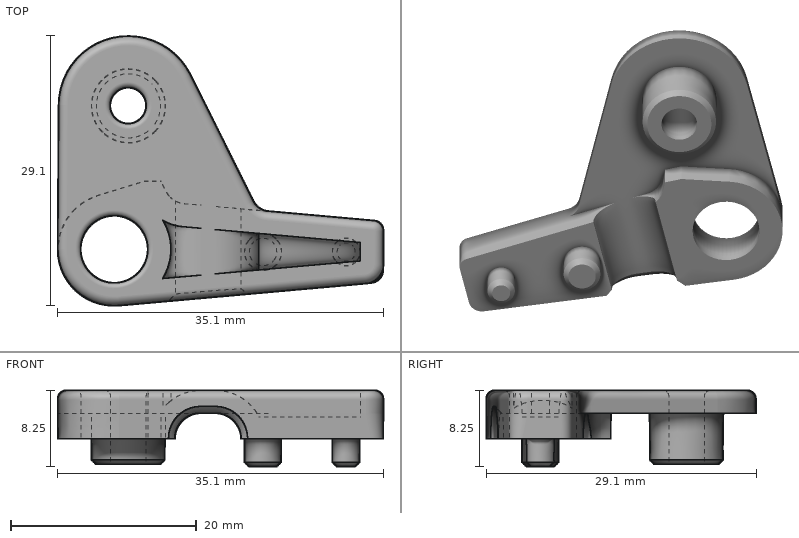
import cadquery as cq
import math


plate_thickness = 2.5
body_depth = 5.25
large_boss_depth = 8.0
total_depth = 8.25
edge_radius = 1.0

total_length = 35.1
total_width = 29.07
hub_radius = 6.1
lobe_radius = 7.5
lobe_x = 1.5
lobe_y = total_width - hub_radius - lobe_radius
arm_end_x = total_length - hub_radius
arm_axis_y = -0.26
arm_taper = 5.1
slant_angle = 26.5
crotch_radius = 1.9
front_corner_radius = 2.1
back_corner_radius = 1.1

body_draft = 0.5
body_front_corner_foot_radius = 1.45
ramp_angle = 107.0
shoulder_y = 7.36
shoulder_length = 1.8
shoulder_fillet = 2.5

large_hole_radius = 3.6
small_hole_radius = 1.92
hole_rim_radius = 0.6

arch_x = 10.1
arch_flat = 1.6
arch_radius = body_depth - plate_thickness
arch_chamfer = 0.75
wall = 2.5
pocket_depth = 2.87

boss_draft = 0.5
large_boss_radius = 4.0
near_pin_x = 16.0
near_pin_radius = 2.0
far_pin_x = 24.95
far_pin_radius = 1.5
boss_chamfer = 0.5


def unit(angle):
    """Unit vector at an angle in degrees."""
    return math.cos(math.radians(angle)), math.sin(math.radians(angle))


def on_circle(center, radius, angle):
    """Point of a circle at an angle in degrees."""
    ux, uy = unit(angle)
    return center[0] + radius * ux, center[1] + radius * uy


def crossing(line_a, line_b):
    """Crossing of two lines, each given as (normal angle, distance from the origin)."""
    ax, ay = unit(line_a[0])
    bx, by = unit(line_b[0])
    det = ax * by - ay * bx
    x = (line_a[1] * by - line_b[1] * ay) / det
    y = (ax * line_b[1] - bx * line_a[1]) / det
    return x, y


def rounding(line_a, line_b, radius, side):
    """Start, middle and end of the arc between two lines; side is 1 for convex, -1 for concave."""
    inner_a = (line_a[0], line_a[1] - side * radius)
    inner_b = (line_b[0], line_b[1] - side * radius)
    center = crossing(inner_a, inner_b)
    middle_angle = (line_a[0] + line_b[0]) / 2
    return [on_circle(center, side * radius, angle) for angle in (line_a[0], middle_angle, line_b[0])]


def add_rounding(path, arc):
    """Run a path straight to an arc and then along it."""
    return path.lineTo(*arc[0]).threePointArc(arc[1], arc[2])


hub = (0, 0)
lobe = (lobe_x, lobe_y)
front_angle = arm_taper - 90
back_angle = 90 - arm_taper
arm_back_distance = hub_radius + 2 * arm_axis_y * math.sin(math.radians(back_angle))

front_edge = (front_angle, hub_radius)
end_edge = (0, arm_end_x)
back_edge = (back_angle, arm_back_distance)
slant_normal = unit(slant_angle)
slant_edge = (slant_angle, lobe_x * slant_normal[0] + lobe_y * slant_normal[1] + lobe_radius)
ramp_edge = (ramp_angle, hub_radius)
shoulder_edge = (90, shoulder_y)
shoulder_start = crossing(ramp_edge, shoulder_edge)
flank_distance = (shoulder_start[0] + shoulder_length) * slant_normal[0] + shoulder_y * slant_normal[1]
flank_edge = (slant_angle, flank_distance)


def inset(edge, distance):
    """Edge moved inward."""
    return edge[0], edge[1] - distance


def make_plate():
    """Plate with a rounded top edge."""
    center_distance = math.hypot(lobe_x, lobe_y)
    lobe_direction = math.degrees(math.atan2(lobe_y, lobe_x))
    radius_change = (hub_radius - lobe_radius) / center_distance
    left_angle = lobe_direction + math.degrees(math.acos(radius_change))
    hub_middle = (left_angle + front_angle + 360) / 2
    lobe_middle = (left_angle + slant_angle) / 2

    path = cq.Workplane("XY").workplane(offset=-plate_thickness)
    path = path.moveTo(*on_circle(hub, hub_radius, front_angle))
    path = add_rounding(path, rounding(front_edge, end_edge, front_corner_radius, 1))
    path = add_rounding(path, rounding(end_edge, back_edge, back_corner_radius, 1))
    path = add_rounding(path, rounding(back_edge, slant_edge, crotch_radius, -1))
    path = path.lineTo(*on_circle(lobe, lobe_radius, slant_angle))
    path = path.threePointArc(
        on_circle(lobe, lobe_radius, lobe_middle), on_circle(lobe, lobe_radius, left_angle)
    )
    path = path.lineTo(*on_circle(hub, hub_radius, left_angle))
    path = path.threePointArc(
        on_circle(hub, hub_radius, hub_middle), on_circle(hub, hub_radius, front_angle)
    )
    plate = path.close().extrude(plate_thickness)
    return plate.faces(">Z").edges().fillet(edge_radius)


def draw_body(path, shrink, corner_radius):
    """Outline of the thick body, moved inward by shrink."""
    front = inset(front_edge, shrink)
    end = inset(end_edge, shrink)
    back = inset(back_edge, shrink)
    flank = inset(flank_edge, shrink)
    top = inset(shoulder_edge, shrink)
    ramp = inset(ramp_edge, shrink)
    radius = hub_radius - shrink
    hub_middle = (ramp_angle + front_angle + 360) / 2

    path = path.moveTo(*on_circle(hub, radius, front_angle))
    path = add_rounding(path, rounding(front, end, corner_radius, 1))
    path = add_rounding(path, rounding(end, back, back_corner_radius, 1))
    path = add_rounding(path, rounding(back, flank, shoulder_fillet + shrink, -1))
    path = path.lineTo(*crossing(flank, top)).lineTo(*crossing(top, ramp))
    path = path.lineTo(*on_circle(hub, radius, ramp_angle))
    path = path.threePointArc(on_circle(hub, radius, hub_middle), on_circle(hub, radius, front_angle))
    return path.close()


def make_body():
    """Drafted body whose front corner sharpens toward the foot."""
    height = body_depth - plate_thickness
    foot_shrink = height * math.tan(math.radians(body_draft))
    path = cq.Workplane("XY").workplane(offset=-plate_thickness)
    path = draw_body(path, 0, front_corner_radius).workplane(offset=-height)
    return draw_body(path, foot_shrink, body_front_corner_foot_radius).loft(ruled=True)


def draw_arch(plane, middle_x, radius):
    """Arch profile: two quarter rounds joined by a flat, carried down past the bosses."""
    half_flat = arch_flat / 2
    half_width = half_flat + radius
    diagonal = radius * math.sin(math.radians(45))
    spring = -body_depth
    return (
        plane.moveTo(middle_x - half_width, -total_depth)
        .lineTo(middle_x - half_width, spring)
        .threePointArc(
            (middle_x - half_flat - diagonal, spring + diagonal), (middle_x - half_flat, spring + radius)
        )
        .lineTo(middle_x + half_flat, spring + radius)
        .threePointArc(
            (middle_x + half_flat + diagonal, spring + diagonal), (middle_x + half_width, spring)
        )
        .lineTo(middle_x + half_width, -total_depth)
        .close()
    )


def make_arch_cut():
    """Arch through the arm with a chamfered mouth on the front face."""
    passage = draw_arch(cq.Workplane("XZ"), arch_x, arch_radius).extrude(2 * lobe_radius, both=True)
    normal = unit(front_angle)
    face_origin = on_circle(hub, hub_radius, front_angle)
    mouth_plane = cq.Plane(
        origin=(face_origin[0], face_origin[1], 0),
        xDir=(-normal[1], normal[0], 0),
        normal=(normal[0], normal[1], 0),
    )
    along_face = (arch_x - face_origin[0]) / math.cos(math.radians(arm_taper))
    mouth = draw_arch(cq.Workplane(mouth_plane), along_face, arch_radius + arch_chamfer)
    mouth = mouth.extrude(-arch_chamfer, taper=45)
    return passage.union(mouth)


def make_pockets():
    """Hollow in the arm top, split in two by the rounded roof over the arch."""
    front = inset(front_edge, wall)
    end = inset(end_edge, wall)
    back = inset(back_edge, wall)
    flare = rounding(back, inset(flank_edge, wall), shoulder_fillet + wall, -1)
    path = cq.Workplane("XY").moveTo(*on_circle(hub, hub_radius - wall, front_angle))
    path = path.lineTo(*crossing(front, end)).lineTo(*crossing(end, back))
    path = add_rounding(path, flare).lineTo(*hub)
    hollow = path.close().extrude(-pocket_depth)
    strip = cq.Workplane("XY").rect(2 * total_length, 2 * (hub_radius - wall)).extrude(-pocket_depth)
    hub_core = cq.Workplane("XY").circle(hub_radius).extrude(-pocket_depth)
    roof = draw_arch(cq.Workplane("XZ"), arch_x, arch_radius + wall).extrude(hub_radius, both=True)
    return hollow.intersect(strip).cut(hub_core).cut(roof)


def make_boss(x, y, radius, depth, root_depth):
    """Drafted round boss hanging from root_depth to depth, chamfered at its foot."""
    boss = cq.Workplane("XY", origin=(x, y, -root_depth)).circle(radius)
    boss = boss.extrude(root_depth - depth, taper=boss_draft)
    return boss.faces("<Z").edges().chamfer(boss_chamfer)


def make_hole(x, y, radius):
    """Through hole with a rounded rim at the top face."""
    rim_radius = radius + hole_rim_radius
    profile = (
        cq.Workplane("XZ")
        .lineTo(rim_radius, 0)
        .radiusArc((radius, -hole_rim_radius), -hole_rim_radius)
        .lineTo(radius, -total_depth)
        .lineTo(0, -total_depth)
        .close()
    )
    return profile.revolve(360, (0, 0), (0, 1)).translate((x, y, 0))


result = make_plate().union(make_body())
result = result.cut(make_arch_cut()).cut(make_pockets())
result = result.union(make_boss(lobe_x, lobe_y, large_boss_radius, large_boss_depth, plate_thickness))
for pin_x, pin_radius in ((near_pin_x, near_pin_radius), (far_pin_x, far_pin_radius)):
    result = result.union(make_boss(pin_x, arm_axis_y, pin_radius, total_depth, body_depth))
result = result.cut(make_hole(*hub, large_hole_radius)).cut(make_hole(*lobe, small_hole_radius))